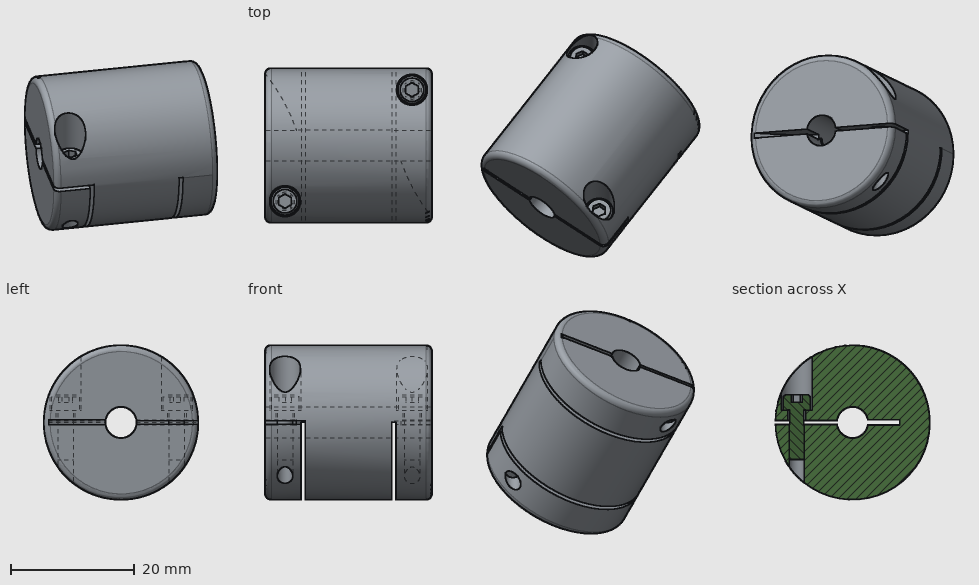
import cadquery as cq

length = 27.0
outer_diameter = 25.0
outer_radius = outer_diameter / 2
edge_round = 1.0
bore_diameter = 5.0

hub_slit_depth = 6.5
open_slit_height = 0.6
hinge_slit_height = 0.8
hinge_slit_reach = 11.65
hinge_slit_depth_at_axis = 5.8
hinge_slit_radius = 30.0
crosswise_slot_width = 0.65

screw_x = 3.25
screw_y = -9.0
head_diameter = 4.5
head_height = 2.5
head_chamfer = 0.35
thread_diameter = 2.5
shank_length = 8.0
hex_across_flats = 2.0
hex_depth = 1.2

head_seat_z = 2.0
counterbore_diameter = 5.0
clearance_diameter = 3.0


def box_between(x_range, y_range, z_range):
    """Box spanning the given (low, high) ranges."""
    size = [high - low for low, high in (x_range, y_range, z_range)]
    corner = (x_range[0], y_range[0], z_range[0])
    return cq.Workplane("XY").box(*size, centered=False).translate(corner)


def cylinder_on_screw_axis(diameter, bottom_z, top_z):
    base = cq.Workplane("XY", origin=(screw_x, screw_y, bottom_z))
    return base.circle(diameter / 2).extrude(top_z - bottom_z)


def turn_to_far_hub(shape):
    """Half turn about the vertical line through the middle of the coupling."""
    middle = length / 2
    return shape.rotate((middle, 0, 0), (middle, 0, 1), 180)


def open_slit():
    half_height = open_slit_height / 2
    return box_between((0, hub_slit_depth), (-outer_radius, 0), (-half_height, half_height))


def hinge_slit():
    """Slit with an arched floor that rises to the end face just short of the rim."""
    return (
        cq.Workplane("XY", origin=(0, 0, -hinge_slit_height / 2))
        .lineTo(hinge_slit_depth_at_axis, 0)
        .radiusArc((0, hinge_slit_reach), -hinge_slit_radius)
        .close()
        .extrude(hinge_slit_height)
    )


def crosswise_slot():
    return box_between(
        (hub_slit_depth - crosswise_slot_width, hub_slit_depth),
        (-outer_radius, outer_radius),
        (-outer_radius, 0),
    )


def screw_hole():
    counterbore = cylinder_on_screw_axis(counterbore_diameter, head_seat_z, outer_radius)
    clearance = cylinder_on_screw_axis(clearance_diameter, 0, head_seat_z)
    thread = cylinder_on_screw_axis(thread_diameter, -outer_radius, 0)
    return counterbore.union(clearance).union(thread)


def make_coupling():
    coupling = cq.Workplane("YZ").circle(outer_radius).extrude(length)
    coupling = coupling.faces("<X or >X").edges().fillet(edge_round)
    coupling = coupling.cut(cq.Workplane("YZ").circle(bore_diameter / 2).extrude(length))
    for cutter in (open_slit(), hinge_slit(), crosswise_slot(), screw_hole()):
        coupling = coupling.cut(cutter).cut(turn_to_far_hub(cutter))
    return coupling


def make_screw():
    head_top_z = head_seat_z + head_height
    head = cylinder_on_screw_axis(head_diameter, head_seat_z, head_top_z)
    head = head.faces(">Z").edges().chamfer(head_chamfer)
    shank = cylinder_on_screw_axis(thread_diameter, head_seat_z - shank_length, head_seat_z)
    socket = (
        cq.Workplane("XY", origin=(screw_x, screw_y, head_top_z - hex_depth))
        .polygon(6, hex_across_flats, circumscribed=True)
        .extrude(hex_depth)
    )
    return head.union(shank).cut(socket)


coupling = make_coupling()
screws = [make_screw(), turn_to_far_hub(make_screw())]
result = cq.Compound.makeCompound([coupling.val(), *[screw.val() for screw in screws]])